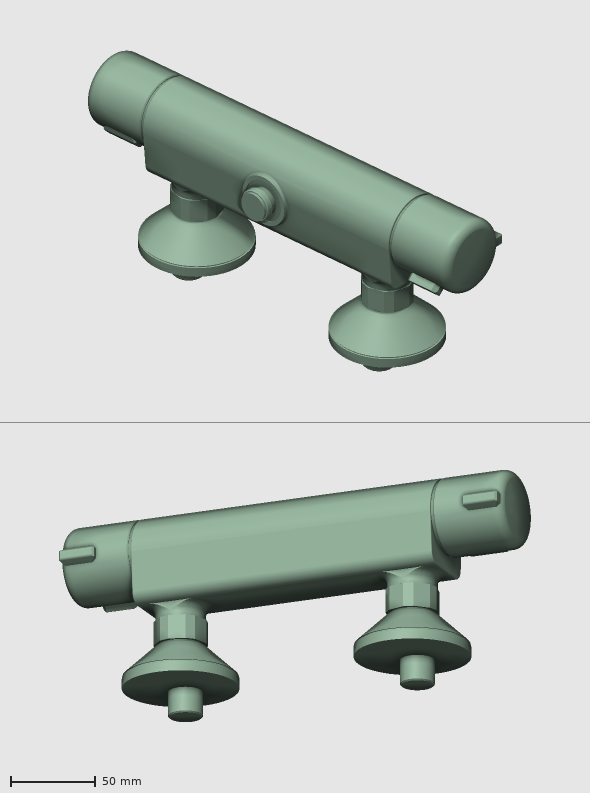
import cadquery as cq
import math


BODY_HALF_LENGTH = 97.0
BARREL_RADIUS = 24.0
SKIRT_HALF_WIDTH = 21.7
SKIRT_Z = -26.5
BASE_HALF_WIDTH = 16.0
BASE_Z = -33.2
EDGE_ROUND = 0.72

HANDLE_START = 99.0
HANDLE_END = 144.5
HANDLE_SHOULDER = 137.3
FACE_RADIUS = 19.0
DOME_HEIGHT = 1.2
GAP_RADIUS = 22.8

TAB_ROOT_RADIUS = 23.0
BACK_TAB_TIP_RADIUS = 28.3
BACK_TAB_LENGTH = 22.5
BACK_TAB_CENTER = 130.7
BACK_TAB_ROOT_WIDTH = 11.0
BACK_TAB_TIP_WIDTH = 5.2
BACK_TAB_EDGE_RADIUS = 1.7
BACK_TAB_ANGLE = 0.0
FRONT_TAB_ANGLE = 225.0
LEFT_TAB_TIP_RADIUS = 25.7
LEFT_TAB_LENGTH = 25.5
LEFT_TAB_CENTER = 118.5
LEFT_TAB_ROOT_WIDTH = 12.0
LEFT_TAB_TIP_WIDTH = 7.0
LEFT_TAB_EDGE_RADIUS = 2.5
RIGHT_TAB_TIP_RADIUS = 28.5
RIGHT_TAB_LENGTH = 22.5
RIGHT_TAB_CENTER = 121.7
RIGHT_TAB_WIDTH = 9.5
RIGHT_TAB_EDGE_RADIUS = 0.3
TAB_CORNER_CUT = 2.5
TAB_END_CUT = 1.2

OUTLET_Z = -7.8
OUTLET_TIP_Y = 35.3
COLLAR_Y = 25.7
COLLAR_RADIUS = 16.5
COLLAR_BLEND = 1.2
RECESS_RADIUS = 27.5 / 2
RECESS_DEPTH = 1.0
OUTLET_NECK_RADIUS = 9.0
RIM_RADIUS = 10.5
RIM_START_Y = 29.0
RIM_END_Y = 33.5
RIM_CHAMFER = 0.5
OUTLET_TIP_RADIUS = 18.2 / 2

UNION_X = 75.2
NECK_RADIUS = 15.0
FLARE_RADIUS = 20.2
FLARE_END_Z = -39.3
NUT_TOP_Z = -42.2
NUT_BOTTOM_Z = -57.0
NUT_ACROSS_FLATS = 30.6
NUT_ACROSS_CUT_CORNERS = 31.8
FRONT_FLAT_ANGLE = 270.0
NUT_TURN = 15.0
HEX_HALF_ANGLE = 30.0
FERRULE_RADIUS = 27.5 / 2
CONE_TOP_Z = -58.5
CONE_TOP_RADIUS = 15.5
CONE_BOTTOM_Z = -76.3
CONE_BOTTOM_RADIUS = 34.7
GROOVE_RADIUS = 33.8
RIM_TOP_Z = -77.5
FLANGE_RADIUS = 35.0
FLANGE_BOTTOM_Z = -83.5
STUB_RADIUS = 10.5
STUB_OFFSET_Y = -7.2
STUB_BOTTOM_Z = -99.2
STUB_CHAMFER = 1.0


def make_body():
    """Barrel whose sides run tangent from the round top into a narrowing, rounded skirt."""
    corner_distance = math.hypot(SKIRT_HALF_WIDTH, SKIRT_Z)
    corner_angle = math.atan2(SKIRT_Z, SKIRT_HALF_WIDTH)
    tangent_angle = corner_angle + math.acos(BARREL_RADIUS / corner_distance)
    tangent_y = BARREL_RADIUS * math.cos(tangent_angle)
    tangent_z = BARREL_RADIUS * math.sin(tangent_angle)
    top_angle = (tangent_angle + math.pi / 2) / 2
    return (
        cq.Workplane("YZ")
        .workplane(offset=-BODY_HALF_LENGTH)
        .moveTo(0, BARREL_RADIUS)
        .threePointArc(
            (BARREL_RADIUS * math.cos(top_angle), BARREL_RADIUS * math.sin(top_angle)),
            (tangent_y, tangent_z),
        )
        .lineTo(SKIRT_HALF_WIDTH, SKIRT_Z)
        .tangentArcPoint((BASE_HALF_WIDTH, BASE_Z), relative=False)
        .lineTo(0, BASE_Z)
        .mirrorY()
        .extrude(2 * BODY_HALF_LENGTH)
        .faces("<X or >X")
        .fillet(EDGE_ROUND)
    )


def make_body_with_collar():
    """Body with the round outlet collar blended into its front."""
    collar = (
        cq.Workplane("XZ")
        .center(0, OUTLET_Z)
        .circle(COLLAR_RADIUS)
        .circle(RECESS_RADIUS)
        .extrude(COLLAR_Y)
        .union(cq.Workplane("XZ").center(0, OUTLET_Z).circle(COLLAR_RADIUS).extrude(COLLAR_Y - RECESS_DEPTH))
    )
    foot_zone = cq.selectors.BoxSelector(
        (-COLLAR_RADIUS, -COLLAR_Y + COLLAR_BLEND, OUTLET_Z - COLLAR_RADIUS),
        (COLLAR_RADIUS, -SKIRT_HALF_WIDTH + COLLAR_BLEND, OUTLET_Z + COLLAR_RADIUS),
    )
    joined = make_body().union(collar)
    return joined.edges(foot_zone).fillet(COLLAR_BLEND)


def make_handles():
    """Both handles with their domed ends and the thin shadow gaps, as one turned piece."""
    rim_x = HANDLE_END - DOME_HEIGHT
    dome_radius = (FACE_RADIUS**2 + DOME_HEIGHT**2) / (2 * DOME_HEIGHT)
    mid_radius = FACE_RADIUS / 2
    mid_x = HANDLE_END - dome_radius + math.sqrt(dome_radius**2 - mid_radius**2)
    handle = (
        cq.Workplane("XY")
        .moveTo(0, 0)
        .lineTo(0, GAP_RADIUS)
        .lineTo(HANDLE_START, GAP_RADIUS)
        .lineTo(HANDLE_START, BARREL_RADIUS - EDGE_ROUND)
        .lineTo(HANDLE_START + EDGE_ROUND, BARREL_RADIUS)
        .lineTo(HANDLE_SHOULDER, BARREL_RADIUS)
        .tangentArcPoint((rim_x, FACE_RADIUS), relative=False)
        .threePointArc((mid_x, mid_radius), (HANDLE_END, 0))
        .close()
        .revolve(360, (0, 0, 0), (1, 0, 0))
    )
    return handle.union(handle.mirror("YZ"))


def make_tab(center_x, length, root_width, tip_width, tip_radius, edge_radius, angle):
    """Wedge-shaped grip tab with cut corners; angle runs around X from +Y toward +Z."""
    wedge = (
        cq.Workplane("YZ")
        .moveTo(-root_width / 2, 0)
        .lineTo(root_width / 2, 0)
        .lineTo(root_width / 2, TAB_ROOT_RADIUS)
        .lineTo(tip_width / 2, tip_radius)
        .lineTo(-tip_width / 2, tip_radius)
        .lineTo(-root_width / 2, TAB_ROOT_RADIUS)
        .close()
        .extrude(length / 2, both=True)
        .edges("|X and >Z")
        .fillet(edge_radius)
    )
    envelope = (
        cq.Workplane("XY")
        .rect(length, root_width)
        .extrude(tip_radius)
        .edges("|Z")
        .chamfer(TAB_CORNER_CUT)
        .faces(">Z")
        .edges("|Y")
        .chamfer(TAB_END_CUT)
    )
    return (
        wedge.intersect(envelope)
        .translate((center_x, 0, 0))
        .rotate((0, 0, 0), (1, 0, 0), angle - 90)
    )


def make_outlet():
    """Neck, rim and tip of the shower outlet, turned about an axis along Y."""
    outline = [
        (0, 0),
        (OUTLET_NECK_RADIUS, 0),
        (OUTLET_NECK_RADIUS, -RIM_START_Y),
        (RIM_RADIUS - RIM_CHAMFER, -RIM_START_Y),
        (RIM_RADIUS, -RIM_START_Y - RIM_CHAMFER),
        (RIM_RADIUS, -RIM_END_Y + RIM_CHAMFER),
        (RIM_RADIUS - RIM_CHAMFER, -RIM_END_Y),
        (OUTLET_TIP_RADIUS, -RIM_END_Y),
        (OUTLET_TIP_RADIUS, -OUTLET_TIP_Y),
        (0, -OUTLET_TIP_Y),
    ]
    return (
        cq.Workplane("XY")
        .polyline(outline)
        .close()
        .revolve(360, (0, 0, 0), (0, 1, 0))
        .translate((0, 0, OUTLET_Z))
    )


def make_flared_neck():
    """Neck that flares into the body, trimmed flat front and back to the neck width."""
    drop = BASE_Z - FLARE_END_Z
    spread = FLARE_RADIUS - NECK_RADIUS
    diagonal = 1 - math.sqrt(0.5)
    neck = (
        cq.Workplane("XZ")
        .moveTo(0, BASE_Z)
        .lineTo(FLARE_RADIUS, BASE_Z)
        .threePointArc(
            (NECK_RADIUS + spread * diagonal, BASE_Z - drop * diagonal),
            (NECK_RADIUS, FLARE_END_Z),
        )
        .lineTo(NECK_RADIUS, NUT_TOP_Z)
        .lineTo(0, NUT_TOP_Z)
        .close()
        .revolve(360, (0, 0, 0), (0, 1, 0))
    )
    trim_height = 2 * abs(NUT_TOP_Z)
    trim = cq.Workplane("XY").box(2 * FLARE_RADIUS, 2 * NECK_RADIUS, trim_height)
    return neck.intersect(trim)


def make_hexagon(across_flats, angle):
    """Hexagonal bar over the nut height, with one flat facing the given angle from +X."""
    return (
        cq.Workplane("XY")
        .workplane(offset=NUT_BOTTOM_Z)
        .polygon(6, across_flats / math.cos(math.radians(HEX_HALF_ANGLE)))
        .extrude(NUT_TOP_Z - NUT_BOTTOM_Z)
        .rotate((0, 0, 0), (0, 0, 1), angle - HEX_HALF_ANGLE)
    )


def make_union(nut_angle):
    """One wall union: flared neck, nut, ferrule, conical flange and eccentric stub."""
    nut = make_hexagon(NUT_ACROSS_FLATS, nut_angle).intersect(
        make_hexagon(NUT_ACROSS_CUT_CORNERS, nut_angle + HEX_HALF_ANGLE)
    )
    flange_outline = [
        (0, NUT_BOTTOM_Z),
        (FERRULE_RADIUS, NUT_BOTTOM_Z),
        (FERRULE_RADIUS, CONE_TOP_Z),
        (CONE_TOP_RADIUS, CONE_TOP_Z),
        (CONE_BOTTOM_RADIUS, CONE_BOTTOM_Z),
        (GROOVE_RADIUS, CONE_BOTTOM_Z),
        (GROOVE_RADIUS, RIM_TOP_Z),
        (FLANGE_RADIUS, RIM_TOP_Z),
        (FLANGE_RADIUS, FLANGE_BOTTOM_Z),
        (0, FLANGE_BOTTOM_Z),
    ]
    flange = cq.Workplane("XZ").polyline(flange_outline).close().revolve(360, (0, 0, 0), (0, 1, 0))
    stub = (
        cq.Workplane("XY")
        .workplane(offset=STUB_BOTTOM_Z)
        .center(0, STUB_OFFSET_Y)
        .circle(STUB_RADIUS)
        .extrude(FLANGE_BOTTOM_Z - STUB_BOTTOM_Z)
        .faces("<Z")
        .chamfer(STUB_CHAMFER)
    )
    return make_flared_neck().union(nut).union(flange).union(stub)


result = make_body_with_collar().union(make_handles()).union(make_outlet())

for side in (-1, 1):
    nut_angle = FRONT_FLAT_ANGLE + side * NUT_TURN
    back_tab = make_tab(
        side * BACK_TAB_CENTER,
        BACK_TAB_LENGTH,
        BACK_TAB_ROOT_WIDTH,
        BACK_TAB_TIP_WIDTH,
        BACK_TAB_TIP_RADIUS,
        BACK_TAB_EDGE_RADIUS,
        BACK_TAB_ANGLE,
    )
    result = result.union(make_union(nut_angle).translate((side * UNION_X, 0, 0))).union(back_tab)

left_tab = make_tab(
    -LEFT_TAB_CENTER,
    LEFT_TAB_LENGTH,
    LEFT_TAB_ROOT_WIDTH,
    LEFT_TAB_TIP_WIDTH,
    LEFT_TAB_TIP_RADIUS,
    LEFT_TAB_EDGE_RADIUS,
    FRONT_TAB_ANGLE,
)
right_tab = make_tab(
    RIGHT_TAB_CENTER,
    RIGHT_TAB_LENGTH,
    RIGHT_TAB_WIDTH,
    RIGHT_TAB_WIDTH,
    RIGHT_TAB_TIP_RADIUS,
    RIGHT_TAB_EDGE_RADIUS,
    FRONT_TAB_ANGLE,
)
result = result.union(left_tab).union(right_tab)